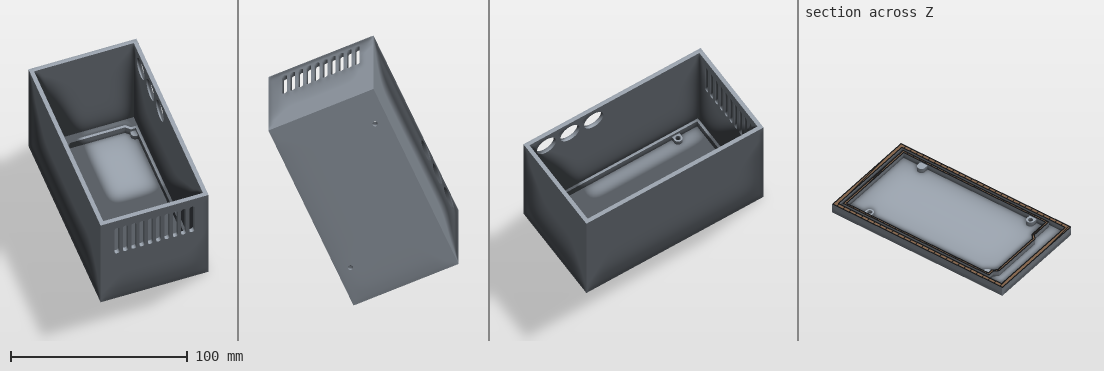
import cadquery as cq
import math

LENGTH = 120.0
WIDTH = 65.0
HEIGHT = 70.0
WALL = 2.5
FLOOR = 2.5

INNER_LENGTH = LENGTH - 2 * WALL
INNER_WIDTH = WIDTH - 2 * WALL

RIM_HEIGHT = 5.0
RIM_WALL = 1.5
BOARD_RIGHT = 54.0
BOARD_LENGTH = 100.0
BOARD_WIDTH = 54.0
BOARD_LEFT = BOARD_RIGHT - BOARD_LENGTH
TAB_DEPTH = 2.5
TAB_LOW_Y = -14.0
TAB_HIGH_Y = 24.0

SUPPORT_HEIGHT = 3.0
SUPPORT_RADIUS = 2.5
SCREW_HOLE_DIAMETER = 3.0
SUPPORT_INSET = 2.5
SUPPORT_Y = BOARD_WIDTH / 2 - SUPPORT_INSET
RIGHT_SUPPORT_X = 39.5
LOW_LEFT_SUPPORT_X = -37.5
HIGH_LEFT_SUPPORT_X = -44.5
HIGH_LEFT_SUPPORT_Y = 26.0
SCREW_SUPPORTS = [(LOW_LEFT_SUPPORT_X, -SUPPORT_Y), (RIGHT_SUPPORT_X, SUPPORT_Y)]
PLAIN_SUPPORTS = [(HIGH_LEFT_SUPPORT_X, HIGH_LEFT_SUPPORT_Y), (RIGHT_SUPPORT_X, -SUPPORT_Y)]

PORT_COUNT = 3
PORT_DIAMETER = 13.0
PORT_PITCH = 16.0
FIRST_PORT_X = -46.0
PORT_Z = 60.0

SLOT_COUNT = 10
SLOT_PITCH = 5.0
SLOT_WIDTH = 3.0
SLOT_LENGTH = 23.0
SLOT_Z = 52.0


def make_box():
    outer = cq.Workplane("XY").box(LENGTH, WIDTH, HEIGHT, centered=(True, True, False))
    cavity = (
        cq.Workplane("XY")
        .workplane(offset=FLOOR)
        .rect(INNER_LENGTH, INNER_WIDTH)
        .extrude(HEIGHT - FLOOR)
    )
    return outer.cut(cavity)


def board_outline():
    """Board outline: a rectangle whose left side carries a tab with 45 degree flanks."""
    half_width = BOARD_WIDTH / 2
    tab_left = BOARD_LEFT - TAB_DEPTH
    points = [
        (BOARD_RIGHT, -half_width),
        (BOARD_RIGHT, half_width),
        (BOARD_LEFT, half_width),
        (BOARD_LEFT, TAB_HIGH_Y),
        (tab_left, TAB_HIGH_Y - TAB_DEPTH),
        (tab_left, TAB_LOW_Y + TAB_DEPTH),
        (BOARD_LEFT, TAB_LOW_Y),
        (BOARD_LEFT, -half_width),
    ]
    return cq.Workplane("XY").workplane(offset=FLOOR).polyline(points).close()


def make_support(x, y):
    """Round-nosed support that runs outward in Y until it meets the rim."""
    side = math.copysign(1, y)
    run = BOARD_WIDTH / 2 - abs(y)
    floor_plane = cq.Workplane("XY").workplane(offset=FLOOR)
    nose = floor_plane.center(x, y).circle(SUPPORT_RADIUS).extrude(SUPPORT_HEIGHT)
    stem = (
        floor_plane.center(x, y + side * run / 2)
        .rect(2 * SUPPORT_RADIUS, run)
        .extrude(SUPPORT_HEIGHT)
    )
    return nose.union(stem)


def make_board_seat():
    recess = board_outline().extrude(RIM_HEIGHT)
    rim = board_outline().offset2D(RIM_WALL, "intersection").extrude(RIM_HEIGHT).cut(recess)
    supports = cq.Workplane("XY")
    for x, y in SCREW_SUPPORTS + PLAIN_SUPPORTS:
        supports = supports.add(make_support(x, y))
    return rim.union(supports.combine().intersect(recess))


def make_screw_holes():
    return (
        cq.Workplane("XY")
        .pushPoints(SCREW_SUPPORTS)
        .circle(SCREW_HOLE_DIAMETER / 2)
        .extrude(FLOOR + SUPPORT_HEIGHT)
    )


def make_ports():
    centres = [(FIRST_PORT_X + i * PORT_PITCH, PORT_Z) for i in range(PORT_COUNT)]
    return (
        cq.Workplane("XZ", origin=(0, WIDTH / 2, 0))
        .pushPoints(centres)
        .circle(PORT_DIAMETER / 2)
        .extrude(WALL)
    )


def make_slots():
    first_y = -SLOT_PITCH * (SLOT_COUNT - 1) / 2
    centres = [(first_y + i * SLOT_PITCH, SLOT_Z) for i in range(SLOT_COUNT)]
    return (
        cq.Workplane("YZ", origin=(LENGTH / 2 - WALL, 0, 0))
        .pushPoints(centres)
        .slot2D(SLOT_LENGTH, SLOT_WIDTH, 90)
        .extrude(WALL)
    )


result = (
    make_box()
    .union(make_board_seat())
    .cut(make_screw_holes())
    .cut(make_ports())
    .cut(make_slots())
)